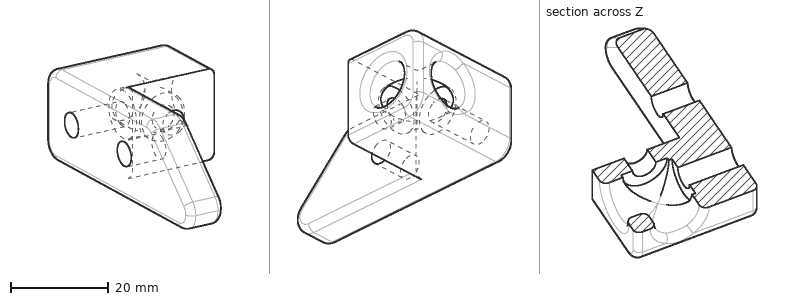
import cadquery as cq
import math

length = 54.7
height = 20.0
corner_radius = 4.0
nose_upper_radius = 3.75
slope_start_x = 38.4

depth = 28.4
plate_thickness = 8.4
block_length = 20.0

edge_fillet = 1.5

hole_diameter = 5.3
hole_spacing = 20.0
hole_z = height / 2
block_hole_x = block_length / 2
plate_hole_x = block_hole_x + hole_spacing
cross_hole_y = depth - block_length / 2

counterbore_radius = 10.5 / 2
mouth_radius = counterbore_radius + edge_fillet
counterbore_floor = 4.0
counterbore_depth = block_length - counterbore_floor


def arc_point(center, radius, angle):
    """Point on an arc at the given angle from +X, in radians."""
    return (center[0] + radius * math.cos(angle), center[1] + radius * math.sin(angle))


def add_arc(outline, center, radius, start, end):
    """Draw a line to the start of an arc and then the arc itself."""
    return outline.lineTo(*arc_point(center, radius, start)).threePointArc(
        arc_point(center, radius, (start + end) / 2),
        arc_point(center, radius, end),
    )


def rounded_prism(y_depth):
    """Side outline extruded from Y=0 to y_depth, with both rims rounded."""
    left, low = corner_radius, corner_radius
    high = height - corner_radius
    quarter = math.pi / 2
    slope_top = (slope_start_x, high)
    nose = (length - corner_radius, low)
    nose_upper = (length - nose_upper_radius, low)

    run = nose_upper[0] - slope_top[0]
    rise = nose_upper[1] - slope_top[1]
    radius_drop = corner_radius - nose_upper_radius
    normal = math.atan2(rise, run) + math.acos(radius_drop / math.hypot(run, rise))

    outline = cq.Workplane("XZ").moveTo(left, 0)
    outline = add_arc(outline, nose, corner_radius, -quarter, 0)
    outline = outline.threePointArc(
        arc_point(nose_upper, nose_upper_radius, normal / 2),
        arc_point(nose_upper, nose_upper_radius, normal),
    )
    outline = add_arc(outline, slope_top, corner_radius, normal, quarter)
    outline = add_arc(outline, (left, high), corner_radius, quarter, 2 * quarter)
    outline = add_arc(outline, (left, low), corner_radius, 2 * quarter, 3 * quarter)
    prism = outline.close().extrude(-y_depth)
    return prism.faces("<Y or >Y").edges().fillet(edge_fillet)


def block():
    """Left end of the full-depth prism, cut off square at block_length."""
    keep = cq.Workplane("XY").box(block_length, depth, height, centered=False)
    return rounded_prism(depth).intersect(keep)


def cylinder_along_x(radius, x_length):
    """Cylinder on the cross hole axis, reaching in from the left face."""
    start = cq.Workplane("YZ", origin=(0, cross_hole_y, hole_z))
    return start.circle(radius).extrude(x_length)


def cylinder_along_y(radius, x, y_length):
    """Cylinder parallel to Y at the given X, reaching in from the back face."""
    start = cq.Workplane("XZ", origin=(x, depth, hole_z))
    return start.circle(radius).extrude(y_length)


def box_around(x_range, y_range):
    """Selector for edges centred in the given X and Y ranges, near the hole height."""
    return cq.selectors.BoxSelector(
        (x_range[0], y_range[0], hole_z - mouth_radius),
        (x_range[1], y_range[1], hole_z + mouth_radius),
    )


def cut_counterbores(body):
    """Sink both counterbores, then round their mouths and the corner between them."""
    x_span = (block_hole_x - mouth_radius, block_hole_x + mouth_radius)
    y_span = (cross_hole_y - mouth_radius, cross_hole_y + mouth_radius)

    body = body.cut(cylinder_along_x(counterbore_radius, counterbore_depth))
    left_mouth = box_around((-edge_fillet, edge_fillet), y_span)
    body = body.edges(left_mouth).edges("not #X").fillet(edge_fillet)

    body = body.cut(cylinder_along_y(counterbore_radius, block_hole_x, counterbore_depth))
    inner_corner = box_around((x_span[0], block_hole_x), (cross_hole_y, y_span[1]))
    body = body.edges(inner_corner).edges("not(%LINE or %CIRCLE)").fillet(edge_fillet)

    back_mouth = box_around(x_span, (depth - edge_fillet / 2, depth + edge_fillet))
    return body.edges(back_mouth).fillet(edge_fillet)


def cut_holes(body):
    """Drill the screw holes right through."""
    hole_radius = hole_diameter / 2
    body = body.cut(cylinder_along_x(hole_radius, block_length))
    for x in (block_hole_x, plate_hole_x):
        body = body.cut(cylinder_along_y(hole_radius, x, depth))
    return body


body = block().union(rounded_prism(plate_thickness))
result = cut_holes(cut_counterbores(body)).solids()